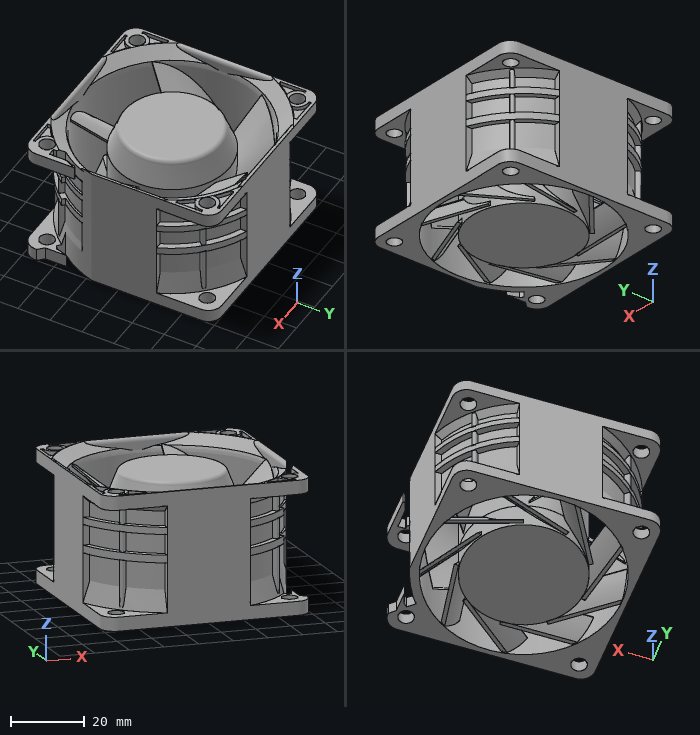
import cadquery as cq
import math

side = 60.0
half_side = side / 2
height = 38.0
corner_radius = 4.2
flange_thickness = 4.0
upper_flange_z = height - flange_thickness
panel_width = 24.0
screw_hole_diameter = 4.5
screw_offset = 25.0

bore_radius = 28.4
tube_radius = 30.5
ring_rib_radius = math.hypot(half_side, panel_width / 2)
lower_cone_z = 10.0
upper_cone_z = 32.1

ring_rib_spans = [(18.0, 20.2), (26.0, 28.0)]
corner_rib_radius = 32.1
corner_rib_thickness = 1.3
corner_rib_rounding = 0.4

mouth_start_z = 33.6
mouth_throat_radius = 28.9
mouth_throat_z = 35.3
mouth_cone_radius = 32.4
mouth_cone_z = 37.6
mouth_top_radius = 33.0
mouth_half_width = 28.5
lip_radius = 1.2

pocket_depth = 1.2
pocket_outer = 29.0
pocket_inner = 22.0
pocket_low = 17.5
pocket_high = 25.4
pocket_boss_radius = 3.4
pocket_rim_radius = 33.2

notch_radius = 31.1
notch_end_angle = -39.3
notch_floor_point = (26.1, -21.5)
notch_recess_x = 28.3
upper_notch_low_y = -22.4
upper_tooth_root_y = -16.6
tooth_tip_start = (29.0, -14.6)
tooth_tip_bulge = (29.4, -13.9)
tooth_tip_y = -13.6
lower_ledge_point = (27.1, -20.7)
lower_ledge_high_y = -17.0

carrier_radius = 17.8
carrier_height = 8.0
vane_count = 9
vane_offset = 16.3
vane_width = 5.8
vane_thickness = 1.2
vane_low_z = 0.5
vane_high_z = 7.0
vane_bow = 0.8
vane_end_radius = bore_radius + 0.6

hub_radius = 17.8
hub_shoulder_z = 28.8
hub_cone_radius = 15.2
hub_cone_z = 35.2
hub_top_radius = 13.5
hub_top_z = 36.5
hub_edge_bulge = (14.7, 36.1)
blade_count = 5
blade_tip_radius = 27.9
blade_root_radius = 15.0
blade_thickness = 0.7
blade_first_angle = 4.6
tip_sweep = 52.0
tip_top_z = 36.0
root_lag = 9.0
root_sweep = 82.0
root_top_z = 25.2
blade_bottom_z = 10.0
early_drop_share = 0.2
blade_stations = 7


def polar(radius, degrees):
    angle = math.radians(degrees)
    return radius * math.cos(angle), radius * math.sin(angle)


def cylinder(radius, bottom, top):
    return cq.Workplane("XY").workplane(offset=bottom).circle(radius).extrude(top - bottom)


def square_block(width, depth, bottom, top):
    return cq.Workplane("XY").workplane(offset=bottom).rect(width, depth).extrude(top - bottom)


def make_tube():
    """Duct wall, flared outside where it runs into the two flanges."""
    profile = [
        (0, 0),
        (ring_rib_radius, 0),
        (ring_rib_radius, flange_thickness),
        (tube_radius, lower_cone_z),
        (tube_radius, upper_cone_z),
        (ring_rib_radius, upper_flange_z),
        (ring_rib_radius, height),
        (0, height),
    ]
    return cq.Workplane("XZ").polyline(profile).close().revolve(360, (0, 0), (0, 1))


def make_outer_body():
    """Flanges, side panels, tube and ribs, trimmed to the rounded square outline."""
    body = make_tube()
    body = body.union(square_block(side, side, 0, flange_thickness))
    body = body.union(square_block(side, side, upper_flange_z, height))
    body = body.union(square_block(panel_width, side, 0, height))
    body = body.union(square_block(side, panel_width, 0, height))
    for bottom, top in ring_rib_spans:
        body = body.union(cylinder(ring_rib_radius, bottom, top))
    for angle in (45, 135):
        rib = square_block(2 * corner_rib_radius, corner_rib_thickness, 0, height)
        rib = rib.edges("|Z").fillet(corner_rib_rounding)
        body = body.union(rib.rotate((0, 0, 0), (0, 0, 1), angle))
    outline = square_block(side, side, 0, height).edges("|Z").fillet(corner_radius)
    return body.intersect(outline)


def make_mouth():
    """Air space of the intake: a cone cut off by four flats with rounded lips."""
    throat_middle = (
        bore_radius + (mouth_throat_radius - bore_radius) / 4,
        (mouth_start_z + mouth_throat_z) / 2,
    )
    cone = (
        cq.Workplane("XZ")
        .moveTo(0, mouth_start_z)
        .lineTo(bore_radius, mouth_start_z)
        .threePointArc(throat_middle, (mouth_throat_radius, mouth_throat_z))
        .lineTo(mouth_cone_radius, mouth_cone_z)
        .lineTo(mouth_top_radius, height)
        .lineTo(0, height)
        .close()
        .revolve(360, (0, 0), (0, 1))
    )
    lip_outer = mouth_half_width + lip_radius
    lip_mid_x = lip_outer - lip_radius * math.sqrt(0.5)
    lip_mid_z = height - lip_radius + lip_radius * math.sqrt(0.5)
    channel = (
        cq.Workplane("XZ", origin=(0, half_side, 0))
        .moveTo(-mouth_half_width, mouth_start_z)
        .lineTo(mouth_half_width, mouth_start_z)
        .lineTo(mouth_half_width, height - lip_radius)
        .threePointArc((lip_mid_x, lip_mid_z), (lip_outer, height))
        .lineTo(-lip_outer, height)
        .threePointArc((-lip_mid_x, lip_mid_z), (-mouth_half_width, height - lip_radius))
        .close()
        .extrude(side)
    )
    return cone.intersect(channel).intersect(channel.rotate((0, 0, 0), (0, 0, 1), 90))


def make_corner_pocket():
    """Pocket beside the (+X, +Y) screw hole, along the +X edge."""
    floor_z = height - pocket_depth
    pocket = (
        cq.Workplane("XY")
        .workplane(offset=floor_z)
        .moveTo(pocket_inner, pocket_low)
        .lineTo(pocket_outer, pocket_low)
        .lineTo(pocket_outer, pocket_high)
        .lineTo(pocket_inner, pocket_high)
        .close()
        .extrude(pocket_depth)
    )
    boss = cylinder(pocket_boss_radius, floor_z, height).translate((screw_offset, screw_offset, 0))
    return pocket.cut(boss).cut(cylinder(pocket_rim_radius, floor_z, height))


def start_notch(bottom):
    """Notch wall that follows the duct from the +X side down to the foot of the notch."""
    entry = (half_side, -math.sqrt(notch_radius**2 - half_side**2))
    entry_angle = math.degrees(math.atan2(entry[1], entry[0]))
    return (
        cq.Workplane("XY")
        .workplane(offset=bottom)
        .moveTo(*entry)
        .threePointArc(
            polar(notch_radius, (entry_angle + notch_end_angle) / 2),
            polar(notch_radius, notch_end_angle),
        )
        .lineTo(*notch_floor_point)
    )


def make_upper_notch():
    """Notch through the upper flange and the ribs; it leaves a pointed tooth on the +X side."""
    return (
        start_notch(lower_cone_z)
        .lineTo(notch_floor_point[0], upper_notch_low_y)
        .lineTo(notch_recess_x, upper_notch_low_y)
        .lineTo(notch_recess_x, upper_tooth_root_y)
        .lineTo(*tooth_tip_start)
        .threePointArc(tooth_tip_bulge, (half_side, tooth_tip_y))
        .close()
        .extrude(height - lower_cone_z)
    )


def make_lower_notch():
    """Notch through the lower flange, open to the +X side and closed by a 45 degree edge."""
    diagonal_sum = sum(notch_floor_point)
    return (
        start_notch(0)
        .lineTo(*lower_ledge_point)
        .lineTo(notch_recess_x, lower_ledge_high_y)
        .lineTo(notch_recess_x, diagonal_sum - notch_recess_x)
        .lineTo(half_side, diagonal_sum - half_side)
        .close()
        .extrude(lower_cone_z)
    )


def make_vane():
    """Bowed stator vane, tangential to the carrier and leaning outward towards its foot."""
    inner_y = -vane_offset + vane_width / 2
    outer_y = -vane_offset - vane_width / 2
    nose_middle = (inner_y - vane_thickness / 2, vane_high_z + vane_thickness / 2)
    middle = (-vane_offset - vane_bow, (vane_low_z + vane_high_z) / 2 - vane_bow)
    vane = (
        cq.Workplane("YZ")
        .moveTo(outer_y, vane_low_z)
        .threePointArc(middle, (inner_y - vane_thickness, vane_high_z))
        .threePointArc(nose_middle, (inner_y, vane_high_z))
        .threePointArc((middle[0] + vane_thickness, middle[1]), (outer_y + vane_thickness, vane_low_z))
        .close()
        .extrude(-vane_end_radius)
    )
    return vane.intersect(cylinder(vane_end_radius, 0, carrier_height))


def make_housing():
    housing = make_outer_body().cut(cylinder(bore_radius, 0, height)).cut(make_mouth())
    housing = (
        housing.faces(">Z")
        .workplane(origin=(0, 0, height))
        .rect(2 * screw_offset, 2 * screw_offset, forConstruction=True)
        .vertices()
        .hole(screw_hole_diameter)
    )
    pocket = make_corner_pocket()
    mirrored_pocket = pocket.mirror("XZ")
    for turn in (0, 90, 180, 270):
        housing = housing.cut(pocket.rotate((0, 0, 0), (0, 0, 1), turn))
    for turn in (90, 180, 270):
        housing = housing.cut(mirrored_pocket.rotate((0, 0, 0), (0, 0, 1), turn))
    housing = housing.cut(make_upper_notch()).cut(make_lower_notch())
    carrier = cylinder(carrier_radius, 0, carrier_height)
    vane = make_vane()
    for index in range(vane_count):
        carrier = carrier.union(vane.rotate((0, 0, 0), (0, 0, 1), index * 360 / vane_count))
    return housing.union(carrier)


def blade_curve(radius, start_angle, sweep, top_z, bottom_z):
    """Camber line of the blade on a cylinder: it falls gently first and steeper later."""
    points = []
    for station in range(blade_stations):
        share = station / (blade_stations - 1)
        fall = early_drop_share * share + (1 - early_drop_share) * share**2
        x, y = polar(radius, start_angle - sweep * share)
        points.append(cq.Vector(x, y, top_z - (top_z - bottom_z) * fall))
    return cq.Edge.makeSpline(points)


def make_blade(angle):
    drop = cq.Vector(0, 0, -blade_thickness)
    tip_upper = blade_curve(blade_tip_radius, angle, tip_sweep, tip_top_z, blade_bottom_z)
    root_upper = blade_curve(blade_root_radius, angle - root_lag, root_sweep, root_top_z, blade_bottom_z)
    tip_lower = tip_upper.translate(drop)
    root_lower = root_upper.translate(drop)
    faces = [
        cq.Face.makeRuledSurface(tip_upper, root_upper),
        cq.Face.makeRuledSurface(tip_lower, root_lower),
        cq.Face.makeRuledSurface(tip_upper, tip_lower),
        cq.Face.makeRuledSurface(root_upper, root_lower),
    ]
    for end in (0, 1):
        corners = [edge.positionAt(end) for edge in (tip_upper, root_upper, root_lower, tip_lower)]
        faces.append(cq.Face.makeFromWires(cq.Wire.makePolygon(corners, close=True)))
    return cq.Workplane(cq.Solid.makeSolid(cq.Shell.makeShell(faces)).fix())


def make_rotor():
    rotor = (
        cq.Workplane("XZ")
        .moveTo(0, carrier_height)
        .lineTo(hub_radius, carrier_height)
        .lineTo(hub_radius, hub_shoulder_z)
        .lineTo(hub_cone_radius, hub_cone_z)
        .threePointArc(hub_edge_bulge, (hub_top_radius, hub_top_z))
        .lineTo(0, hub_top_z)
        .close()
        .revolve(360, (0, 0), (0, 1))
    )
    for index in range(blade_count):
        rotor = rotor.union(make_blade(blade_first_angle + index * 360 / blade_count))
    return rotor


housing = make_housing()
rotor = make_rotor()
result = cq.Compound.makeCompound([housing.solids().val(), rotor.solids().val()])